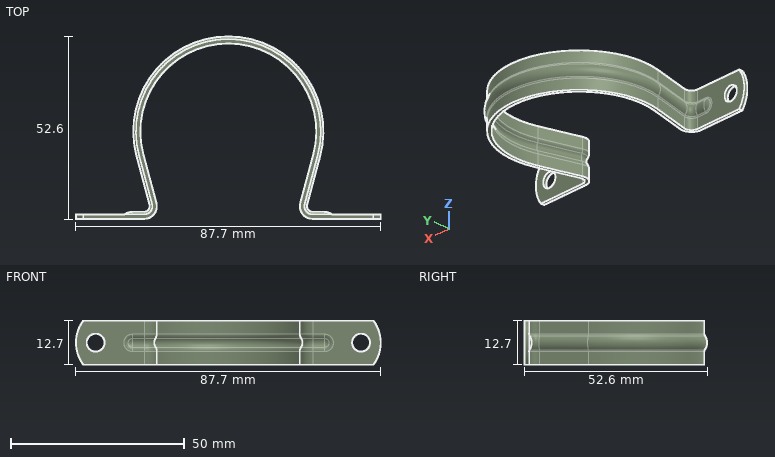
import cadquery as cq
import math

LENGTH = 87.7
WIDTH = 12.7
SHEET = 1.3

LOOP_INNER_RADIUS = 25.3
LOOP_CENTER_Y = 25.2
LEG_TILT = math.radians(15)
BEND_RADIUS = 3.7

TIP_RADIUS = 10.5
HOLE_DIAMETER = 5.1
HOLE_TO_TIP = 5.7

BEAD_WIDTH = 5.0
BEAD_HEIGHT = 0.8
GROOVE_RADIUS = 2.2
BEAD_END_X = 27.6

HALF_WIDTH = WIDTH / 2
HALF_BEAD = BEAD_WIDTH / 2
DISH_RADIUS = BEAD_WIDTH

FLANK_RADII_SUM = (HALF_BEAD**2 + BEAD_HEIGHT**2) / (2 * BEAD_HEIGHT)
FLANK_ANGLE = math.asin(HALF_BEAD / FLANK_RADII_SUM)
SHOULDER_RADIUS = FLANK_RADII_SUM - GROOVE_RADIUS

BEND_CENTER_X = (
    LOOP_INNER_RADIUS + BEND_RADIUS - (LOOP_CENTER_Y - BEND_RADIUS) * math.sin(LEG_TILT)
) / math.cos(LEG_TILT)


def shoulder_point(depth, angle):
    """(Z, height) on the shoulder arc, at a depth of metal above the inner face."""
    radius = SHOULDER_RADIUS - depth
    return HALF_BEAD - radius * math.sin(angle), SHOULDER_RADIUS - radius * math.cos(angle)


def groove_point(depth, angle):
    """(Z, height) on the groove arc, at a depth of metal above the inner face."""
    radius = GROOVE_RADIUS + depth
    return radius * math.sin(angle), BEAD_HEIGHT - GROOVE_RADIUS + radius * math.cos(angle)


def half_section(x, edge):
    """Open outline of the beaded sheet cut across at x, from the bead's middle to a flat edge."""
    plane = cq.Plane(origin=(x, 0, 0), xDir=(0, 0, 1), normal=(-1, 0, 0))
    half_angle = FLANK_ANGLE / 2
    return (
        cq.Workplane(plane)
        .moveTo(*groove_point(0, 0))
        .threePointArc(groove_point(0, half_angle), groove_point(0, FLANK_ANGLE))
        .threePointArc(shoulder_point(0, half_angle), (HALF_BEAD, 0))
        .lineTo(edge, 0)
        .lineTo(edge, SHEET)
        .lineTo(HALF_BEAD, SHEET)
        .threePointArc(shoulder_point(SHEET, half_angle), shoulder_point(SHEET, FLANK_ANGLE))
        .threePointArc(groove_point(SHEET, half_angle), groove_point(SHEET, 0))
    )


def bend_point(angle):
    """Point on the inner face of the -X bend."""
    return BEND_RADIUS * math.cos(angle) - BEND_CENTER_X, BEND_RADIUS * (1 + math.sin(angle))


def opposite(point):
    """The matching point on the other side of the clamp."""
    return -point[0], point[1]


def strip_path():
    """Inner face of the strip, from one bead end around the loop to the other."""
    bend_start_angle = -math.pi / 2
    bend_start = bend_point(bend_start_angle)
    bend_middle = bend_point((bend_start_angle + LEG_TILT) / 2)
    bend_end = bend_point(LEG_TILT)
    loop_start = (
        -LOOP_INNER_RADIUS * math.cos(LEG_TILT),
        LOOP_CENTER_Y - LOOP_INNER_RADIUS * math.sin(LEG_TILT),
    )
    loop_top = (0, LOOP_CENTER_Y + LOOP_INNER_RADIUS)
    return (
        cq.Workplane("XY")
        .moveTo(-BEAD_END_X, 0)
        .lineTo(*bend_start)
        .threePointArc(bend_middle, bend_end)
        .lineTo(*loop_start)
        .threePointArc(loop_top, opposite(loop_start))
        .lineTo(*opposite(bend_end))
        .threePointArc(opposite(bend_middle), opposite(bend_start))
        .lineTo(BEAD_END_X, 0)
    )


def beaded_strip():
    """Loop, legs and bends, with the bead running along the middle."""
    return half_section(-BEAD_END_X, HALF_WIDTH).mirrorY().sweep(strip_path())


def tab():
    """Flat +X mounting tab with its hole and the half-round end of the bead."""
    tip_x = LENGTH / 2
    corner_x = tip_x - TIP_RADIUS + math.sqrt(TIP_RADIUS**2 - HALF_WIDTH**2)
    plate = (
        cq.Workplane("XZ")
        .moveTo(BEAD_END_X, -HALF_WIDTH)
        .lineTo(corner_x, -HALF_WIDTH)
        .threePointArc((tip_x, 0), (corner_x, HALF_WIDTH))
        .lineTo(BEAD_END_X, HALF_WIDTH)
        .lineTo(BEAD_END_X, DISH_RADIUS)
        .threePointArc((BEAD_END_X + DISH_RADIUS, 0), (BEAD_END_X, -DISH_RADIUS))
        .close()
        .extrude(-SHEET)
    )
    hole = (
        cq.Workplane("XZ")
        .center(tip_x - HOLE_TO_TIP, 0)
        .circle(HOLE_DIAMETER / 2)
        .extrude(-SHEET)
    )
    bead_end = half_section(BEAD_END_X, DISH_RADIUS).close().revolve(180, (0, 0, 0), (0, 1, 0))
    return plate.cut(hole).union(bead_end)


right_tab = tab()
left_tab = right_tab.mirror("YZ")
result = beaded_strip().union(right_tab).union(left_tab).solids()